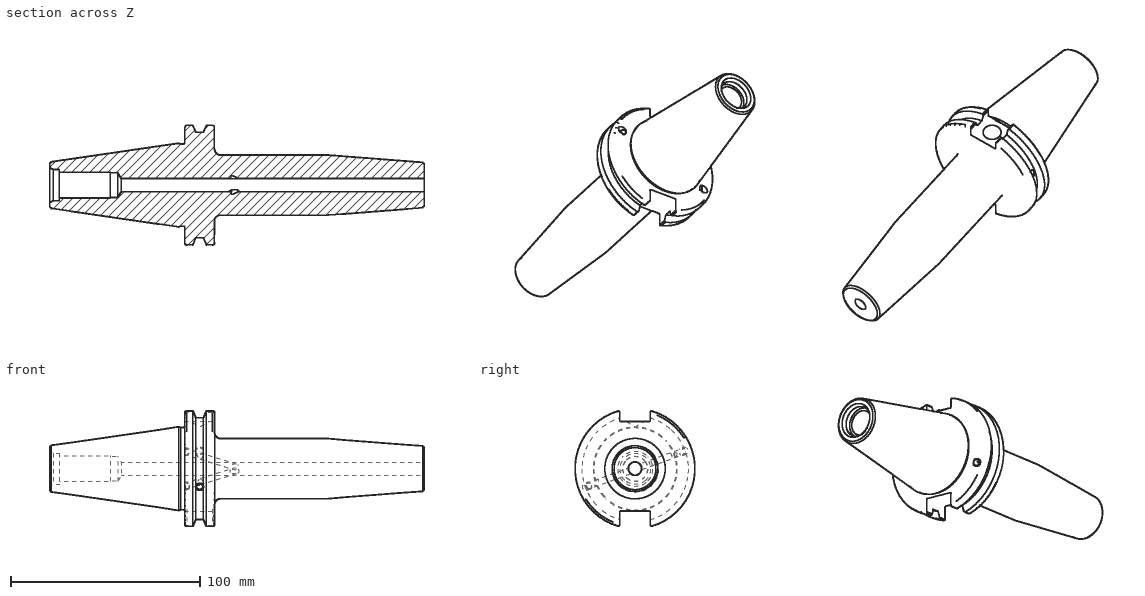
import math

import cadquery as cq


taper_length = 68.25
gauge_diameter = 44.45
taper_rate = 7 / 24
taper_end_chamfer = 0.85
relief_diameter = 43.6
relief_cone_length = 1.2
relief_fillet = 0.6

flange_diameter = 63.55
flange_start = taper_length + 3.2
flange_end = taper_length + 19.1
flange_edge_fillet = 1.2
groove_centre = taper_length + 11.1
groove_floor_diameter = 56.25
groove_floor_width = 4.0
groove_flank_width = 1.5

slot_width = 16.1
upper_slot_height = 25.0
lower_slot_height = 22.5
slot_floor_fillet = 0.5
slot_edge_chamfer = 0.7
dimple_diameter = 9.53
dimple_point_angle = 118.0

overall_length = 198.25
shank_diameter = 32.0
shank_fillet = 3.0
nose_start = 147.0
nose_diameter = 24.2
nose_chamfer = 1.0

mouth_diameter = 18.5
counterbore_diameter = 16.3
mouth_depth = 2.0
counterbore_depth = 5.0
thread_core_diameter = 13.39
thread_core_depth = 32.0
tap_drill_diameter = 13.0
tap_drill_depth = 36.0
through_diameter = 6.92
bore_point_angle = 118.0

coolant_circle_radius = 27.0
coolant_angle = 20.0
coolant_entry_diameter = 4.0
coolant_entry_depth = 1.4
coolant_diameter = 3.24
coolant_inclination = 42.0
plug_hole_diameter = 3.24
plug_countersink_diameter = 4.2
plug_countersink_angle = 90.0

flange_radius = flange_diameter / 2
flange_width = flange_end - flange_start
gauge_radius = gauge_diameter / 2
taper_end_radius = (gauge_diameter - taper_length * taper_rate) / 2
groove_radius = groove_floor_diameter / 2
groove_floor_half = groove_floor_width / 2
groove_top_half = groove_floor_half + groove_flank_width


def cone_depth(large_diameter, small_diameter, included_angle):
    """Axial length of a cone between two diameters."""
    return (large_diameter - small_diameter) / 2 / math.tan(math.radians(included_angle / 2))


def fillet_point(centre_x, centre_r, radius, side_x, side_r):
    """Middle point of a quarter arc; the sides (+1 or -1) choose the quadrant."""
    offset = radius * math.sqrt(0.5)
    return (centre_x + side_x * offset, centre_r + side_r * offset)


def make_body():
    """Solid of revolution: taper, relief, flange, shank and nose."""
    relief_radius = relief_diameter / 2
    shank_radius = shank_diameter / 2
    nose_radius = nose_diameter / 2
    chamfered_radius = taper_end_radius + taper_end_chamfer * taper_rate / 2

    edge = flange_edge_fillet
    profile = (
        cq.Workplane("XY")
        .moveTo(0, 0)
        .lineTo(0, taper_end_radius - taper_end_chamfer)
        .lineTo(taper_end_chamfer, chamfered_radius)
        .lineTo(taper_length, gauge_radius)
        .lineTo(taper_length + relief_cone_length, relief_radius)
        .lineTo(flange_start - relief_fillet, relief_radius)
        .threePointArc(
            fillet_point(flange_start - relief_fillet, relief_radius + relief_fillet, relief_fillet, 1, -1),
            (flange_start, relief_radius + relief_fillet),
        )
        .lineTo(flange_start, flange_radius - edge)
        .threePointArc(
            fillet_point(flange_start + edge, flange_radius - edge, edge, -1, 1),
            (flange_start + edge, flange_radius),
        )
        .lineTo(groove_centre - groove_top_half, flange_radius)
        .lineTo(groove_centre - groove_floor_half, groove_radius)
        .lineTo(groove_centre + groove_floor_half, groove_radius)
        .lineTo(groove_centre + groove_top_half, flange_radius)
        .lineTo(flange_end - edge, flange_radius)
        .threePointArc(
            fillet_point(flange_end - edge, flange_radius - edge, edge, 1, 1),
            (flange_end, flange_radius - edge),
        )
        .lineTo(flange_end, shank_radius + shank_fillet)
        .threePointArc(
            fillet_point(flange_end + shank_fillet, shank_radius + shank_fillet, shank_fillet, -1, -1),
            (flange_end + shank_fillet, shank_radius),
        )
        .lineTo(nose_start, shank_radius)
        .lineTo(overall_length - nose_chamfer, nose_radius)
        .lineTo(overall_length, nose_radius - nose_chamfer)
        .lineTo(overall_length, 0)
        .close()
    )
    return profile.revolve(360, (0, 0, 0), (1, 0, 0))


def make_axial_bore():
    """Conical mouth, counterbore, thread core, tap drill with its point, and through hole."""
    core_radius = thread_core_diameter / 2
    through_radius = through_diameter / 2
    drill_radius = tap_drill_diameter / 2
    point_end = tap_drill_depth + cone_depth(tap_drill_diameter, through_diameter, bore_point_angle)
    profile = (
        cq.Workplane("XY")
        .moveTo(0, 0)
        .lineTo(0, mouth_diameter / 2)
        .lineTo(mouth_depth, counterbore_diameter / 2)
        .lineTo(counterbore_depth, counterbore_diameter / 2)
        .lineTo(counterbore_depth, core_radius)
        .lineTo(thread_core_depth, core_radius)
        .lineTo(thread_core_depth, drill_radius)
        .lineTo(tap_drill_depth, drill_radius)
        .lineTo(point_end, through_radius)
        .lineTo(overall_length, through_radius)
        .lineTo(overall_length, 0)
        .close()
    )
    return profile.revolve(360, (0, 0, 0), (1, 0, 0))


def make_drive_slot(floor_height):
    """Slot across the flange at +Z, with rounded floor corners and chamfered outer edges."""
    half_width = slot_width / 2
    chamfered_half_width = half_width + slot_edge_chamfer
    chamfer_top = math.sqrt(flange_radius**2 - chamfered_half_width**2)
    slot = (
        cq.Workplane("YZ", origin=(flange_start, 0, 0))
        .moveTo(-half_width, floor_height)
        .lineTo(half_width, floor_height)
        .lineTo(half_width, chamfer_top - slot_edge_chamfer)
        .lineTo(chamfered_half_width, chamfer_top)
        .lineTo(chamfered_half_width, flange_radius)
        .lineTo(-chamfered_half_width, flange_radius)
        .lineTo(-chamfered_half_width, chamfer_top)
        .lineTo(-half_width, chamfer_top - slot_edge_chamfer)
        .close()
        .extrude(flange_width)
    )
    return slot.edges("|X and <Z").fillet(slot_floor_fillet)


def make_dimple():
    """Conical drill mark in the floor of the upper slot."""
    depth = cone_depth(dimple_diameter, 0, dimple_point_angle)
    cone = cq.Solid.makeCone(
        dimple_diameter / 2, 0, depth, cq.Vector(groove_centre, 0, upper_slot_height), cq.Vector(0, 0, -1)
    )
    return cq.Workplane(cone)


def drilled_hole(diameter, depth, start, axis):
    """Plain cylinder to be removed, from a start point along an axis."""
    return cq.Workplane(cq.Solid.makeCylinder(diameter / 2, depth, start, axis))


def make_coolant_channel():
    """Stepped inclined hole from the flange face to the bore, met by a countersunk radial plug hole.

    Built in the XY plane on the +Y side.
    """
    tilt = math.radians(coolant_inclination)
    direction = cq.Vector(math.cos(tilt), -math.sin(tilt), 0)
    inward = cq.Vector(0, -1, 0)

    entry = cq.Vector(flange_start, coolant_circle_radius, 0)
    lead_in = coolant_entry_diameter
    entry_hole = drilled_hole(
        coolant_entry_diameter, lead_in + coolant_entry_depth, entry - direction * lead_in, direction
    )
    inclined_hole = drilled_hole(coolant_diameter, coolant_circle_radius / math.sin(tilt), entry, direction)

    crossing_radius = coolant_circle_radius - (groove_centre - flange_start) * math.tan(tilt)
    plug_start = cq.Vector(groove_centre, flange_radius, 0)
    plug_hole = drilled_hole(plug_hole_diameter, flange_radius - crossing_radius, plug_start, inward)

    countersink_edge = cq.Vector(groove_centre, groove_radius, 0)
    countersink = cq.Solid.makeCone(
        plug_countersink_diameter / 2,
        plug_hole_diameter / 2,
        cone_depth(plug_countersink_diameter, plug_hole_diameter, plug_countersink_angle),
        countersink_edge,
        inward,
    )
    return inclined_hole.union(entry_hole).union(plug_hole).union(cq.Workplane(countersink))


result = make_body().cut(make_axial_bore())
result = result.cut(make_drive_slot(upper_slot_height))
result = result.cut(make_drive_slot(lower_slot_height).rotate((0, 0, 0), (1, 0, 0), 180))
result = result.cut(make_dimple())
for half_turn in (0, 180):
    channel = make_coolant_channel().rotate((0, 0, 0), (1, 0, 0), coolant_angle + half_turn)
    result = result.cut(channel)